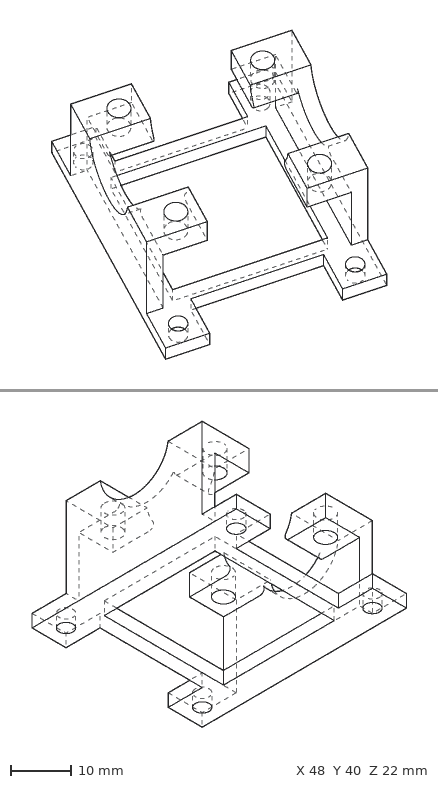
import cadquery as cq

length = 48.0
width = length * 5 / 6
height = 22.0

thickness = length / 16
ear = length / 6
ear_hole_diameter = 3.2
body_length = length - 2 * ear
crossbar_width = 2 * thickness

pad_depth = 11.0
pad_thickness = 5.0
pad_bottom = height - pad_thickness
pad_hole_diameter = 4.0
pad_hole_x = 12.0
pad_hole_inset = 7.0

saddle_radius = 8.0
saddle_rise = 1.1
pad_edge_radius = 1.0


def block(size_x, size_y, bottom, top):
    """Block centred on the Z axis between two heights."""
    return cq.Workplane("XY").workplane(offset=bottom).rect(size_x, size_y).extrude(top - bottom)


def make_base():
    ears_y = (width - ear) / 2
    base = block(body_length, width, 0, thickness)
    for side in (-1, 1):
        base = base.union(block(length, ear, 0, thickness).translate((0, side * ears_y, 0)))
    opening = block(body_length - 2 * thickness, width - 2 * crossbar_width, 0, thickness)
    holes = (
        cq.Workplane("XY")
        .rect(length - ear, width - ear, forConstruction=True)
        .vertices()
        .circle(ear_hole_diameter / 2)
        .extrude(thickness)
    )
    return base.cut(opening).cut(holes)


def make_saddle_cutter():
    return (
        cq.Workplane("XZ")
        .center(0, height + saddle_rise)
        .circle(saddle_radius)
        .extrude(width / 2, both=True)
    )


def make_right_pad():
    """Pad on the +X half, shaped by the saddle and rounded along its lower inner edge."""
    pad_length = body_length / 2
    pad = block(pad_length, pad_depth, pad_bottom, height)
    pad = pad.translate((pad_length / 2, (pad_depth - width) / 2, 0))
    pad = pad.cut(make_saddle_cutter())
    pad = pad.faces("<Z").edges("<X").fillet(pad_edge_radius)
    hole = (
        cq.Workplane("XY")
        .workplane(offset=pad_bottom)
        .center(pad_hole_x, pad_hole_inset - width / 2)
        .circle(pad_hole_diameter / 2)
        .extrude(pad_thickness)
    )
    return pad.cut(hole)


def make_front_support():
    """Upright wall with two overhanging pads at the -Y side."""
    wall = block(body_length, thickness, 0, height).translate((0, (thickness - width) / 2, 0))
    wall = wall.cut(make_saddle_cutter())
    pad = make_right_pad()
    return wall.union(pad).union(pad.mirror("YZ"))


front_support = make_front_support()
back_support = front_support.mirror("XZ")
result = make_base().union(front_support).union(back_support)